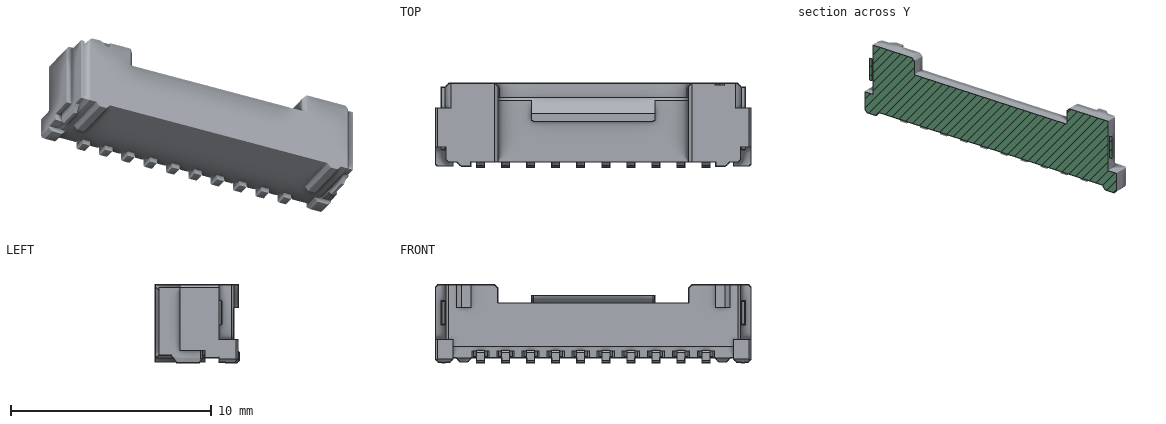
import cadquery as cq

LENGTH = 15.75
DEPTH = 4.2
HEIGHT = 3.9
HALF_LENGTH = LENGTH / 2
REAR_Y = DEPTH / 2
LEAD_TIP_Y = -DEPTH / 2

BODY_BOTTOM_Z = 0.25
BODY_FRONT_Y = -1.83
BODY_FRONT_END_X = HALF_LENGTH - 0.525
PLATEAU_Z = 3.0
FRONT_CORNER = 0.13
REAR_CORNER = 0.2
REAR_TOP_BEVEL = 0.3
BOTTOM_BEVEL_WIDTH = 0.2
BOTTOM_BEVEL_HEIGHT = 0.14
SKIRT_TOP_Z = 0.82
SKIRT_SETBACK = 0.05

TOWER_INNER_X = HALF_LENGTH - 3.12
TOWER_BEVEL = 0.16

SHELF_FRONT_Y = 1.39
SHELF_SLOPE_END_Y = 1.245

RIDGE_HALF_LENGTH = 3.07
RIDGE_TOP_Z = 3.37
RIDGE_CREST_REAR_Y = 0.58
RIDGE_FRONT_Y = 0.2
RIDGE_SLOPE = (RIDGE_TOP_Z - PLATEAU_Z) / (SHELF_SLOPE_END_Y - RIDGE_CREST_REAR_Y)
RIDGE_CORNER_X = 0.1
RIDGE_CORNER_Y = 0.05

SHELF_Z = PLATEAU_Z - RIDGE_SLOPE * (SHELF_FRONT_Y - SHELF_SLOPE_END_Y)

FLANGE_REAR_Y = 0.87
FLANGE_FRONT_Y = -1.08
FLANGE_BEVEL_WIDTH = 0.11
FLANGE_BEVEL_HEIGHT = 0.14
FLANGE_RELIEF_FRONT_Y = -0.38
FLANGE_RELIEF_TOP_Z = 0.61
FLANGE_BOTTOM_Z = 0.28

FOOT_WIDTH = 0.88
FOOT_TOP_Z = 1.17
FOOT_FRONT_Y = -2.04
FOOT_BOTTOM_Z = 0.03
FOOT_CORNER = 0.1
FOOT_BEVEL = 0.16

PLATE_OUTER_X = HALF_LENGTH - 0.28
PLATE_THICKNESS = 0.2
PLATE_INNER_X = PLATE_OUTER_X - PLATE_THICKNESS
PLATE_REAR_Y = 1.91
PLATE_TOP_Z = 3.76
PLATE_REAR_BOTTOM_Z = 0.38
PLATE_BOTTOM_Z = 0.24
PLATE_STEP_START_Y = 1.31
PLATE_STEP_END_Y = 1.18
PLATE_FRONT_Y = -0.26
PLATE_FRONT_BEVEL = 0.09
PLATE_TAB_REAR_Y = 1.03
PLATE_TAB_FRONT_Y = -0.1
PLATE_TAB_TAPER = 0.05
TONGUE_TIP_Y = -1.23
TONGUE_BOTTOM_Z = 1.88
TONGUE_TOP_Z = 3.12
TONGUE_BEVEL = 0.05

BODY_END_X = PLATE_INNER_X

RAIL_INNER_X = HALF_LENGTH - 1.8
RAIL_OUTER_X = HALF_LENGTH - 1.04
RAIL_SLOPE_WIDTH = 0.19
RAIL_BOTTOM_Z = 0.04
RAIL_FRONT_Y = -0.39

KEY_INNER_X = HALF_LENGTH - 1.77
KEY_OUTER_X = HALF_LENGTH - 1.05
KEY_SLOPE_WIDTH = 0.24
KEY_FRONT_Y = -2.05
KEY_BOTTOM_Z = 2.76

NOTCH_INNER_X = HALF_LENGTH - 1.8
NOTCH_FLOOR_END_X = HALF_LENGTH - 1.57
NOTCH_OUTER_X = HALF_LENGTH - 1.32
NOTCH_DEPTH_Y = 0.1
NOTCH_DEPTH_Z = 0.25

LEAD_COUNT = 10
LEAD_PITCH = 1.25
LEAD_WIDTH = 0.4
LEAD_TOP_Z = 0.63
LEAD_ROOT_Y = -1.4
LEAD_TOP_BEVEL = 0.1
LEAD_BOTTOM_BEVEL = 0.12
POCKET_WIDTH = 0.86
POCKET_INNER_WIDTH = 0.68
POCKET_TOP_Z = 0.59
POCKET_DEPTH = 0.1
UNDERCUT_TOP_Z = 0.32
UNDERCUT_DEPTH = 0.1


def prism_x(points, x_start, x_end):
    """Extrude a (y, z) outline from x_start to x_end."""
    outline = cq.Workplane("YZ", origin=(x_start, 0, 0)).polyline(points).close()
    return outline.extrude(x_end - x_start)


def prism_y(points, y_start, y_end):
    """Extrude an (x, z) outline from y_start forward to y_end, where y_end < y_start."""
    outline = cq.Workplane("XZ", origin=(0, y_start, 0)).polyline(points).close()
    return outline.extrude(y_start - y_end)


def prism_z(points, z_start, z_end):
    """Extrude an (x, y) outline from z_start up to z_end."""
    outline = cq.Workplane("XY", origin=(0, 0, z_start)).polyline(points).close()
    return outline.extrude(z_end - z_start)


def block(x_range, y_range, z_range):
    """Rectangular block between three pairs of limits."""
    size = [high - low for low, high in (x_range, y_range, z_range)]
    corner = (x_range[0], y_range[0], z_range[0])
    return cq.Workplane("XY").box(*size, centered=False).translate(corner)


def both_ends(solid):
    """The +X end solid together with its mirror image at the -X end."""
    return solid.union(solid.mirror("YZ"))


def make_core():
    """Low central body carrying the plateau, with its shelf and set-back skirt."""
    skirt_y = BODY_FRONT_Y + SKIRT_SETBACK
    profile = [
        (REAR_Y, BODY_BOTTOM_Z),
        (REAR_Y, SHELF_Z),
        (SHELF_FRONT_Y, SHELF_Z),
        (SHELF_SLOPE_END_Y, PLATEAU_Z),
        (BODY_FRONT_Y, PLATEAU_Z),
        (BODY_FRONT_Y, SKIRT_TOP_Z),
        (skirt_y, SKIRT_TOP_Z),
        (skirt_y, BODY_BOTTOM_Z),
    ]
    return prism_x(profile, -TOWER_INNER_X, TOWER_INNER_X)


def make_tower():
    """Full-height end block with bevelled corners."""
    plan = [
        (TOWER_INNER_X, BODY_FRONT_Y),
        (BODY_FRONT_END_X - FRONT_CORNER, BODY_FRONT_Y),
        (BODY_FRONT_END_X, BODY_FRONT_Y + FRONT_CORNER),
        (BODY_FRONT_END_X, FLANGE_FRONT_Y),
        (BODY_END_X, FLANGE_FRONT_Y),
        (BODY_END_X, REAR_Y - REAR_CORNER),
        (BODY_END_X - REAR_CORNER, REAR_Y),
        (TOWER_INNER_X, REAR_Y),
    ]
    elevation = [
        (TOWER_INNER_X, BODY_BOTTOM_Z),
        (BODY_END_X - BOTTOM_BEVEL_WIDTH, BODY_BOTTOM_Z),
        (BODY_END_X, BODY_BOTTOM_Z + BOTTOM_BEVEL_HEIGHT),
        (BODY_END_X, HEIGHT),
        (TOWER_INNER_X + TOWER_BEVEL, HEIGHT),
        (TOWER_INNER_X, HEIGHT - TOWER_BEVEL),
    ]
    tower = prism_z(plan, BODY_BOTTOM_Z, HEIGHT)
    tower = tower.intersect(prism_y(elevation, REAR_Y, BODY_FRONT_Y))

    rear_bevel = [
        (BODY_END_X - REAR_TOP_BEVEL, HEIGHT),
        (BODY_END_X, HEIGHT - REAR_TOP_BEVEL),
        (BODY_END_X, HEIGHT),
    ]
    tower = tower.cut(prism_y(rear_bevel, REAR_Y, FLANGE_REAR_Y))

    rear_inner_corner = [
        (TOWER_INNER_X, REAR_Y),
        (TOWER_INNER_X + TOWER_BEVEL, REAR_Y),
        (TOWER_INNER_X, REAR_Y - TOWER_BEVEL),
    ]
    tower = tower.cut(prism_z(rear_inner_corner, SHELF_Z, HEIGHT))

    skirt_end_x = HALF_LENGTH - FOOT_WIDTH
    skirt_gap = block(
        (TOWER_INNER_X, skirt_end_x),
        (BODY_FRONT_Y, BODY_FRONT_Y + SKIRT_SETBACK),
        (BODY_BOTTOM_Z, SKIRT_TOP_Z),
    )
    return tower.cut(skirt_gap)


def make_shelf_end():
    """Small sloped strip where the shelf meets the end block."""
    rise = PLATEAU_Z - SHELF_Z
    slope = [
        (TOWER_INNER_X - rise, SHELF_Z),
        (TOWER_INNER_X, SHELF_Z),
        (TOWER_INNER_X, PLATEAU_Z),
    ]
    return prism_y(slope, REAR_Y - TOWER_BEVEL - rise, SHELF_FRONT_Y)


def make_flange():
    """End flange with a bevelled top edge and a relief below for the solder plate."""
    elevation = [
        (BODY_END_X, FLANGE_BOTTOM_Z),
        (HALF_LENGTH, FLANGE_BOTTOM_Z),
        (HALF_LENGTH, HEIGHT - FLANGE_BEVEL_HEIGHT),
        (HALF_LENGTH - FLANGE_BEVEL_WIDTH, HEIGHT),
        (BODY_END_X, HEIGHT),
    ]
    relief = block(
        (BODY_END_X, HALF_LENGTH),
        (FLANGE_RELIEF_FRONT_Y, FLANGE_REAR_Y),
        (FLANGE_BOTTOM_Z, FLANGE_RELIEF_TOP_Z),
    )
    return prism_y(elevation, FLANGE_REAR_Y, FLANGE_FRONT_Y).cut(relief)


def make_foot():
    """Front corner foot with bevelled lower edges."""
    inner_x = HALF_LENGTH - FOOT_WIDTH
    bevel_z = FOOT_BOTTOM_Z + FOOT_BEVEL
    plan = [
        (inner_x, FOOT_FRONT_Y),
        (HALF_LENGTH - FOOT_CORNER, FOOT_FRONT_Y),
        (HALF_LENGTH, FOOT_FRONT_Y + FOOT_CORNER),
        (HALF_LENGTH, FLANGE_FRONT_Y),
        (inner_x, FLANGE_FRONT_Y),
    ]
    foot = prism_z(plan, FOOT_BOTTOM_Z, FOOT_TOP_Z)
    end_outline = [
        (inner_x, FOOT_TOP_Z),
        (inner_x, bevel_z),
        (inner_x + FOOT_BEVEL, FOOT_BOTTOM_Z),
        (HALF_LENGTH - FOOT_BEVEL, FOOT_BOTTOM_Z),
        (HALF_LENGTH, bevel_z),
        (HALF_LENGTH, FOOT_TOP_Z),
    ]
    side_outline = [
        (FOOT_FRONT_Y, FOOT_TOP_Z),
        (FOOT_FRONT_Y, bevel_z),
        (FOOT_FRONT_Y + FOOT_BEVEL, FOOT_BOTTOM_Z),
        (FLANGE_FRONT_Y, FOOT_BOTTOM_Z),
        (FLANGE_FRONT_Y, FOOT_TOP_Z),
    ]
    foot = foot.intersect(prism_y(end_outline, FLANGE_FRONT_Y, FOOT_FRONT_Y))
    return foot.intersect(prism_x(side_outline, inner_x, HALF_LENGTH))


def front_edge_bevel(front_y, bevel):
    """Cutter that bevels the outer upright edge of the solder plate at front_y."""
    corner = [
        (PLATE_OUTER_X, front_y),
        (PLATE_OUTER_X, front_y + bevel),
        (PLATE_OUTER_X - bevel, front_y),
    ]
    return prism_z(corner, 0, PLATE_TOP_Z)


def make_solder_plate():
    """Thin upright plate through the flange, with a board tab below and a tongue in front."""
    profile = [
        (PLATE_REAR_Y, PLATE_TOP_Z),
        (PLATE_REAR_Y, PLATE_REAR_BOTTOM_Z),
        (PLATE_STEP_START_Y, PLATE_REAR_BOTTOM_Z),
        (PLATE_STEP_END_Y, PLATE_BOTTOM_Z),
        (PLATE_TAB_REAR_Y, 0),
        (PLATE_TAB_FRONT_Y, 0),
        (PLATE_FRONT_Y, PLATE_BOTTOM_Z),
        (PLATE_FRONT_Y, PLATE_TOP_Z),
    ]
    tongue_profile = [
        (PLATE_FRONT_Y, TONGUE_BOTTOM_Z),
        (TONGUE_TIP_Y + TONGUE_BEVEL, TONGUE_BOTTOM_Z),
        (TONGUE_TIP_Y, TONGUE_BOTTOM_Z + TONGUE_BEVEL),
        (TONGUE_TIP_Y, TONGUE_TOP_Z - TONGUE_BEVEL),
        (TONGUE_TIP_Y + TONGUE_BEVEL, TONGUE_TOP_Z),
        (PLATE_FRONT_Y, TONGUE_TOP_Z),
    ]
    plate = prism_x(profile, PLATE_INNER_X, PLATE_OUTER_X)
    plate = plate.cut(front_edge_bevel(PLATE_FRONT_Y, PLATE_FRONT_BEVEL))
    tab_taper = [
        (PLATE_OUTER_X, PLATE_BOTTOM_Z),
        (PLATE_OUTER_X, 0),
        (PLATE_OUTER_X - PLATE_TAB_TAPER, 0),
    ]
    plate = plate.cut(prism_y(tab_taper, PLATE_REAR_Y, PLATE_FRONT_Y))
    tongue = prism_x(tongue_profile, PLATE_INNER_X, PLATE_OUTER_X)
    tongue = tongue.cut(front_edge_bevel(TONGUE_TIP_Y, TONGUE_BEVEL))
    return plate.union(tongue)


def make_rail():
    """Trapezoidal standoff rail under the end block."""
    section = [
        (RAIL_INNER_X, BODY_BOTTOM_Z),
        (RAIL_INNER_X + RAIL_SLOPE_WIDTH, RAIL_BOTTOM_Z),
        (RAIL_OUTER_X - RAIL_SLOPE_WIDTH, RAIL_BOTTOM_Z),
        (RAIL_OUTER_X, BODY_BOTTOM_Z),
    ]
    return prism_y(section, REAR_Y, RAIL_FRONT_Y)


def make_key():
    """Keying rib with a sloped outer flank."""
    plan = [
        (KEY_INNER_X, BODY_FRONT_Y),
        (KEY_INNER_X, KEY_FRONT_Y),
        (KEY_OUTER_X - KEY_SLOPE_WIDTH, KEY_FRONT_Y),
        (KEY_OUTER_X, BODY_FRONT_Y),
    ]
    return prism_z(plan, KEY_BOTTOM_Z, HEIGHT)


def make_ridge():
    """Locking ridge: ramp rising from the mating side to a flat crest."""
    profile = [
        (SHELF_SLOPE_END_Y, PLATEAU_Z),
        (RIDGE_CREST_REAR_Y, RIDGE_TOP_Z),
        (RIDGE_FRONT_Y, RIDGE_TOP_Z),
        (RIDGE_FRONT_Y, PLATEAU_Z),
    ]
    plan = [
        (-RIDGE_HALF_LENGTH, SHELF_SLOPE_END_Y),
        (-RIDGE_HALF_LENGTH, RIDGE_FRONT_Y + RIDGE_CORNER_Y),
        (-RIDGE_HALF_LENGTH + RIDGE_CORNER_X, RIDGE_FRONT_Y),
        (RIDGE_HALF_LENGTH - RIDGE_CORNER_X, RIDGE_FRONT_Y),
        (RIDGE_HALF_LENGTH, RIDGE_FRONT_Y + RIDGE_CORNER_Y),
        (RIDGE_HALF_LENGTH, SHELF_SLOPE_END_Y),
    ]
    ridge = prism_x(profile, -RIDGE_HALF_LENGTH, RIDGE_HALF_LENGTH)
    return ridge.intersect(prism_z(plan, PLATEAU_Z, RIDGE_TOP_Z))


def make_notch():
    """Cutter for the first-position notch: flat floor and an outward ramp."""
    section = [
        (NOTCH_INNER_X, HEIGHT),
        (NOTCH_INNER_X, HEIGHT - NOTCH_DEPTH_Z),
        (NOTCH_FLOOR_END_X, HEIGHT - NOTCH_DEPTH_Z),
        (NOTCH_OUTER_X, HEIGHT),
    ]
    return prism_y(section, REAR_Y, REAR_Y - NOTCH_DEPTH_Y)


def make_pocket():
    """Cutter for a lead pocket, open below, with flared sides and an undercut back wall."""
    opening_y = BODY_FRONT_Y + SKIRT_SETBACK
    floor_y = opening_y + POCKET_DEPTH
    plan = [
        (-POCKET_WIDTH / 2, opening_y),
        (POCKET_WIDTH / 2, opening_y),
        (POCKET_INNER_WIDTH / 2, floor_y),
        (-POCKET_INNER_WIDTH / 2, floor_y),
    ]
    undercut = block(
        (-POCKET_INNER_WIDTH / 2, POCKET_INNER_WIDTH / 2),
        (floor_y, floor_y + UNDERCUT_DEPTH),
        (BODY_BOTTOM_Z, UNDERCUT_TOP_Z),
    )
    return prism_z(plan, BODY_BOTTOM_Z, POCKET_TOP_Z).union(undercut)


def make_lead():
    """Contact lead with bevelled top and bottom tip edges."""
    profile = [
        (LEAD_ROOT_Y, 0),
        (LEAD_TIP_Y + LEAD_BOTTOM_BEVEL, 0),
        (LEAD_TIP_Y, LEAD_BOTTOM_BEVEL),
        (LEAD_TIP_Y, LEAD_TOP_Z - LEAD_TOP_BEVEL),
        (LEAD_TIP_Y + LEAD_TOP_BEVEL, LEAD_TOP_Z),
        (LEAD_ROOT_Y, LEAD_TOP_Z),
    ]
    return prism_x(profile, -LEAD_WIDTH / 2, LEAD_WIDTH / 2)


def make_connector():
    """Housing, solder plates and contacts joined into one solid."""
    end_features = (
        make_shelf_end,
        make_flange,
        make_foot,
        make_solder_plate,
        make_rail,
        make_key,
    )
    end = make_tower()
    for make_feature in end_features:
        end = end.union(make_feature())

    part = make_core().union(make_ridge()).union(both_ends(end))
    part = part.cut(make_notch())

    first_lead_x = -LEAD_PITCH * (LEAD_COUNT - 1) / 2
    for index in range(LEAD_COUNT):
        offset = (first_lead_x + index * LEAD_PITCH, 0, 0)
        part = part.cut(make_pocket().translate(offset))
        part = part.union(make_lead().translate(offset))
    return part


result = make_connector()